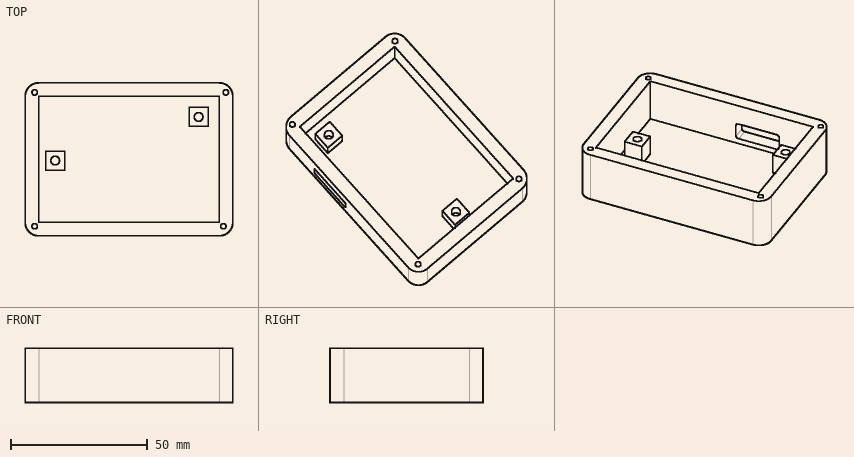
import cadquery as cq

length = 76.0
width = 56.0
height = 20.0
wall = 5.0
corner_radius = wall
floor_thickness = 3.05

rim_hole_diameter = 2.0
rim_hole_depth = 10.0
rim_hole_x = 34.5
rim_hole_y = 24.5
offset_hole_x = 35.4
rim_holes = [
    (-rim_hole_x, -rim_hole_y),
    (rim_hole_x, -rim_hole_y),
    (-rim_hole_x, rim_hole_y),
    (offset_hole_x, rim_hole_y),
]

post_side = 7.0
post_height = 8.0
post_hole_diameter = 3.2
post_centers = [(25.45, 15.5), (-27.0, -0.45)]

window_length = 17.5
window_height = 6.5
window_radius = 1.0
window_center_x = 10.5
window_center_z = 8.5


def make_shell():
    """Rounded block with a sharp-cornered rectangular cavity."""
    block = cq.Workplane("XY").box(length, width, height, centered=(True, True, False))
    block = block.edges("|Z").fillet(corner_radius)
    cavity = (
        cq.Workplane("XY", origin=(0, 0, floor_thickness))
        .rect(length - 2 * wall, width - 2 * wall)
        .extrude(height - floor_thickness)
    )
    return block.cut(cavity)


def make_posts():
    """Drilled square posts rising from the floor."""
    floor = cq.Workplane("XY", origin=(0, 0, floor_thickness)).pushPoints(post_centers)
    posts = floor.rect(post_side, post_side).extrude(post_height)
    bores = floor.circle(post_hole_diameter / 2).extrude(post_height)
    return posts.cut(bores)


def make_rim_holes():
    """Blind holes reaching down from the top of the rim."""
    return (
        cq.Workplane("XY", origin=(0, 0, height))
        .pushPoints(rim_holes)
        .circle(rim_hole_diameter / 2)
        .extrude(-rim_hole_depth)
    )


def make_window():
    """Rounded rectangular cutter spanning the +Y wall."""
    wall_center_y = (width - wall) / 2
    return (
        cq.Workplane("XY")
        .box(window_length, wall, window_height)
        .edges("|Y")
        .fillet(window_radius)
        .translate((window_center_x, wall_center_y, window_center_z))
    )


result = make_shell().union(make_posts()).cut(make_rim_holes()).cut(make_window())